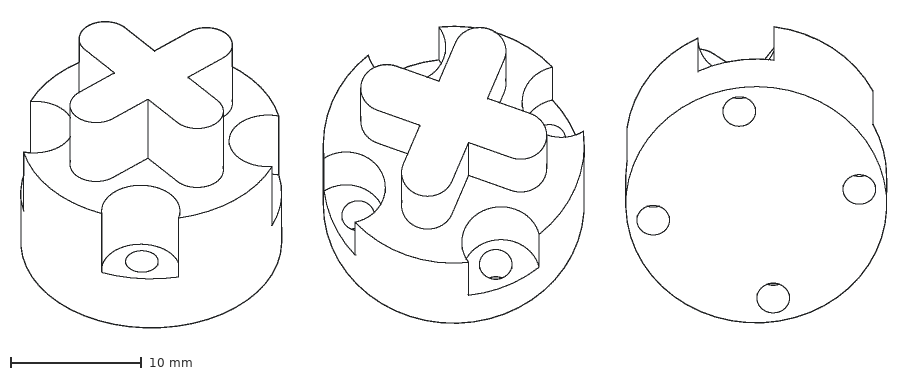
import cadquery as cq

base_diameter = 20.0
base_height = 11.0

cross_length = 15.0
cross_width = 4.0
cross_height = 6.0

screw_count = 4
first_screw_angle = 45.0
screw_circle_radius = 8.0
screw_hole_diameter = 2.5

pocket_circle_radius = 9.0
pocket_diameter = 6.0
pocket_depth = 6.0


def make_base():
    return cq.Workplane("XY").circle(base_diameter / 2).extrude(base_height)


def make_cross_arm(angle):
    """Full-length bar with rounded ends, turned about Z."""
    return (
        cq.Workplane("XY", origin=(0, 0, base_height))
        .slot2D(cross_length, cross_width, angle)
        .extrude(cross_height)
    )


def make_diagonal_cylinders(circle_radius, diameter, bottom, height):
    """Vertical cylinders at the screw angles, from the given bottom height."""
    return (
        cq.Workplane("XY", origin=(0, 0, bottom))
        .polarArray(circle_radius, first_screw_angle, 360, screw_count)
        .circle(diameter / 2)
        .extrude(height)
    )


cross = make_cross_arm(0).union(make_cross_arm(90))
screw_holes = make_diagonal_cylinders(screw_circle_radius, screw_hole_diameter, 0, base_height)
pockets = make_diagonal_cylinders(
    pocket_circle_radius, pocket_diameter, base_height - pocket_depth, pocket_depth
)

result = make_base().cut(pockets).cut(screw_holes).union(cross)